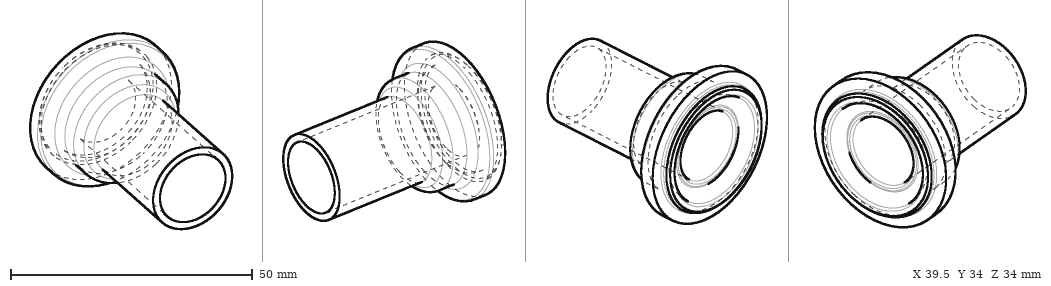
import cadquery as cq
import math

total_length = 39.5
flange_radius = 34.0 / 2
lip_radius = 28.3 / 2
neck_radius = 25.0 / 2
tube_radius = 19.05 / 2
bore_radius = 15.75 / 2

lip_height = 1.75
lip_chamfer = 0.55
lip_root_fillet = 0.4

flange_rim_end = 4.8
flange_back_angle = math.radians(20)
flange_edge_fillet = 0.7
neck_root_fillet = 2.0
shoulder_x = 13.6
shoulder_fillet = 1.65

channel_outer_radius = 12.0
channel_depth = 2.9
channel_floor_r = 10.5
channel_inner_slope = math.radians(50)
mouth_fillet = 0.5
tube_end_x = 2.3
tube_end_outer_radius = 9.2
tube_end_outer_fillet = 0.4
tube_end_inner_fillet = 0.5

slope_sin = math.sin(flange_back_angle)
slope_cos = math.cos(flange_back_angle)
slope_start_x = flange_rim_end + flange_edge_fillet * slope_cos
slope_start_r = flange_radius - flange_edge_fillet * (1 - slope_sin)
slope_end_r = neck_radius + neck_root_fillet * (1 - slope_sin)
slope_end_x = slope_start_x + (slope_start_r - slope_end_r) * math.tan(flange_back_angle)
neck_start_x = slope_end_x + neck_root_fillet * slope_cos

shoulder_step = neck_radius - tube_radius
shoulder_turn = math.acos(1 - shoulder_step / (2 * shoulder_fillet))
shoulder_half_length = shoulder_fillet * math.sin(shoulder_turn)
shoulder_mid_r = (neck_radius + tube_radius) / 2

radially_out = (0, 1)
toward_lip = (-1, 0)

channel_wall_direction = (math.sin(channel_inner_slope), math.cos(channel_inner_slope))
tube_end_face_radius = tube_end_outer_radius - tube_end_outer_fillet * math.sin(channel_inner_slope)
channel_inner_x = tube_end_x + tube_end_outer_fillet * (1 - math.cos(channel_inner_slope))


def draw_outside(profile):
    """Trace the outside from the lip end to the far end of the tube."""
    return (
        profile
        .lineTo(0, lip_radius - lip_chamfer)
        .lineTo(lip_chamfer, lip_radius)
        .lineTo(lip_height - lip_root_fillet, lip_radius)
        .tangentArcPoint((lip_height, lip_radius + lip_root_fillet), relative=False)
        .lineTo(lip_height, flange_radius)
        .lineTo(flange_rim_end, flange_radius)
        .tangentArcPoint((slope_start_x, slope_start_r), relative=False)
        .lineTo(slope_end_x, slope_end_r)
        .tangentArcPoint((neck_start_x, neck_radius), relative=False)
        .lineTo(shoulder_x - shoulder_half_length, neck_radius)
        .tangentArcPoint((shoulder_x, shoulder_mid_r), relative=False)
        .tangentArcPoint((shoulder_x + shoulder_half_length, tube_radius), relative=False)
        .lineTo(total_length, tube_radius)
        .lineTo(total_length, bore_radius)
    )


def draw_inside(profile):
    """Trace the bore, the rounded tube end and the channel back to the lip end."""
    return (
        profile
        .lineTo(tube_end_x + tube_end_inner_fillet, bore_radius)
        .tangentArcPoint((tube_end_x, bore_radius + tube_end_inner_fillet), relative=False)
        .lineTo(tube_end_x, tube_end_face_radius)
        .tangentArcPoint((channel_inner_x, tube_end_outer_radius), relative=False)
        .spline(
            [(channel_depth, channel_floor_r), (mouth_fillet, channel_outer_radius)],
            tangents=[channel_wall_direction, radially_out, toward_lip],
            includeCurrent=True,
        )
        .tangentArcPoint((0, channel_outer_radius + mouth_fillet), relative=False)
        .close()
    )


start = cq.Workplane("XY").moveTo(0, channel_outer_radius + mouth_fillet)
section = draw_inside(draw_outside(start))

result = section.revolve(360, (0, 0, 0), (1, 0, 0))